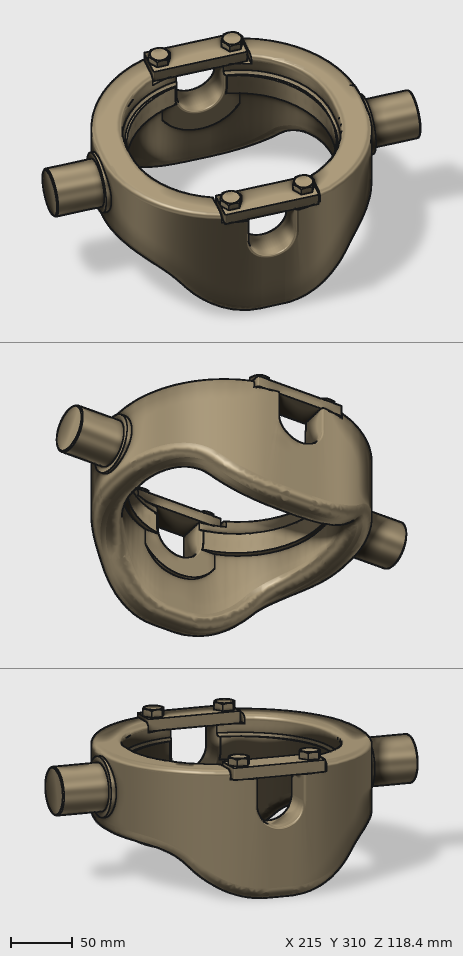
import cadquery as cq
import math

RING_LENGTH_X = 215.0
RING_LENGTH_Y = 225.0
RING_CORNER_RADIUS = 102.5
WALL = 25.0
TOP_Z = 30.0
TOP_EDGE_FILLET = 5.0
BOTTOM_EDGE_FILLET = 10.0

LOBE_Z = -80.0
LOBE_FLAT = 20.0
LOBE_RADIUS = 78.0
ARCH_Z = -38.0
ARCH_RADIUS = 42.0

BORE_RADIUS = 80.0
BORE_LENGTH_Y = 170.0
BAND_TOP_Z = 15.0
BAND_BOTTOM_Z = -6.5
BAND_CHAMFER_ANGLE = 45.0

SLOT_RADIUS = 20.0
SLOT_EDGE_FILLET = 2.0
PAD_RADIUS = 39.0
PAD_FACE_X = 79.0

TRUNNION_DIAMETER = 40.0
TRUNNION_SPAN = 310.0
TRUNNION_CHAMFER = 1.0
COLLAR_DIAMETER = 50.0
COLLAR_SPAN = 230.0

BAR_WIDTH = 25.0
BAR_LENGTH = 80.0
BAR_THICKNESS = 10.0
BAR_CORNER_FILLET = 1.0
SEAT_LENGTH = 84.0
SEAT_DEPTH = 8.0

BOLT_SPACING = 62.0
BOLT_DIAMETER = 10.0
BOLT_LENGTH = 25.0
BAR_HOLE_DIAMETER = 10.5
HEAD_ACROSS_FLATS = 16.0
HEAD_HEIGHT = 6.4
HEAD_TOP_DIAMETER = 15.2
HEAD_CHAMFER_ANGLE = 30.0

CAVITY_LENGTH_X = RING_LENGTH_X - 2 * WALL
CAVITY_LENGTH_Y = RING_LENGTH_Y - 2 * WALL
CAVITY_CORNER_RADIUS = RING_CORNER_RADIUS - WALL
BAND_DEPTH = CAVITY_LENGTH_X / 2 - BORE_RADIUS
SEAT_Z = TOP_Z - SEAT_DEPTH
BAR_TOP_Z = SEAT_Z + BAR_THICKNESS
BAR_CENTER_X = BORE_RADIUS + BAR_WIDTH / 2
RING_HEIGHT = TOP_Z - LOBE_Z
SPAN = 2 * RING_LENGTH_Y
SIDES = (-1, 1)


def rounded_block(length_x, length_y, corner_radius, z, height, taper=0):
    outline = cq.Sketch().rect(length_x, length_y).vertices().fillet(corner_radius)
    return cq.Workplane("XY", origin=(0, 0, z)).placeSketch(outline).extrude(height, taper=taper)


def cavity_block(z, height, taper=0):
    return rounded_block(CAVITY_LENGTH_X, CAVITY_LENGTH_Y, CAVITY_CORNER_RADIUS, z, height, taper)


def slot_prism(radius, start_x, end_x, top_z):
    """U-shaped prism along X: half round below the trunnion axis, straight sides above it."""
    return (
        cq.Workplane("YZ", origin=(start_x, 0, 0))
        .moveTo(-radius, top_z)
        .lineTo(-radius, 0)
        .threePointArc((0, -radius), (radius, 0))
        .lineTo(radius, top_z)
        .close()
        .extrude(end_x - start_x)
    )


def mirrored(point):
    return (-point[0], point[1])


def scallop_cutter():
    """Everything below the wavy lower edge, a prism along X."""
    turn = math.acos(1 - (ARCH_Z - LOBE_Z) / (LOBE_RADIUS + ARCH_RADIUS))
    lobe_start_y = LOBE_FLAT / 2
    arch_end_y = lobe_start_y + (LOBE_RADIUS + ARCH_RADIUS) * math.sin(turn)

    def lobe_point(angle):
        y = lobe_start_y + LOBE_RADIUS * math.sin(angle)
        return (y, LOBE_Z + LOBE_RADIUS * (1 - math.cos(angle)))

    def arch_point(angle):
        y = arch_end_y - ARCH_RADIUS * math.sin(angle)
        return (y, ARCH_Z - ARCH_RADIUS * (1 - math.cos(angle)))

    return (
        cq.Workplane("YZ")
        .moveTo(*mirrored(lobe_point(0)))
        .lineTo(*lobe_point(0))
        .threePointArc(lobe_point(turn / 2), lobe_point(turn))
        .threePointArc(arch_point(turn / 2), arch_point(0))
        .lineTo(SPAN / 2, ARCH_Z)
        .lineTo(SPAN / 2, -SPAN)
        .lineTo(-SPAN / 2, -SPAN)
        .lineTo(-SPAN / 2, ARCH_Z)
        .lineTo(*mirrored(arch_point(0)))
        .threePointArc(mirrored(arch_point(turn / 2)), mirrored(lobe_point(turn)))
        .threePointArc(mirrored(lobe_point(turn / 2)), mirrored(lobe_point(0)))
        .close()
        .extrude(SPAN / 2, both=True)
    )


def make_wall():
    wall = rounded_block(RING_LENGTH_X, RING_LENGTH_Y, RING_CORNER_RADIUS, LOBE_Z, RING_HEIGHT)
    wall = wall.cut(cavity_block(LOBE_Z, RING_HEIGHT))
    wall = wall.faces(">Z").edges().fillet(TOP_EDGE_FILLET)
    wall = wall.cut(scallop_cutter())
    lower_edges = cq.selectors.BoxSelector(
        (-SPAN, -SPAN, LOBE_Z - BOTTOM_EDGE_FILLET),
        (SPAN, SPAN, ARCH_Z + BOTTOM_EDGE_FILLET),
        boundingbox=True,
    )
    return wall.edges(lower_edges).fillet(BOTTOM_EDGE_FILLET)


def make_band():
    """Inward ridge with a sloping top, bored to the obround."""
    band = cavity_block(BAND_BOTTOM_Z, BAND_TOP_Z - BAND_BOTTOM_Z)
    band = band.cut(cavity_block(BAND_TOP_Z, -BAND_DEPTH, BAND_CHAMFER_ANGLE))
    bore = (
        cq.Workplane("XY", origin=(0, 0, BAND_BOTTOM_Z))
        .slot2D(BORE_LENGTH_Y, 2 * BORE_RADIUS, 90)
        .extrude(BAND_TOP_Z - BAND_BOTTOM_Z)
    )
    return band.cut(bore)


def make_pad(side):
    """Flat-faced disc sector around a slot, below the top of the band."""
    disc = (
        cq.Workplane("YZ", origin=(side * PAD_FACE_X, 0, 0))
        .circle(PAD_RADIUS)
        .extrude(side * (CAVITY_LENGTH_X / 2 - PAD_FACE_X))
    )
    return disc.intersect(cavity_block(-PAD_RADIUS, PAD_RADIUS))


def make_slot_flare(side):
    """Clearance beside the pad face that rounds the inner edge of a slot."""
    flare_radius = SLOT_RADIUS + SLOT_EDGE_FILLET
    flare_end_x = side * (PAD_FACE_X + SLOT_EDGE_FILLET)
    rim_inner_x = side * PAD_FACE_X
    rim_outer_x = side * (PAD_FACE_X + WALL)
    rim = slot_prism(flare_radius + SLOT_EDGE_FILLET, rim_inner_x, rim_outer_x, BAND_TOP_Z)
    rim = rim.cut(slot_prism(SLOT_RADIUS, rim_inner_x, rim_outer_x, BAND_TOP_Z))
    slot_edge = cq.selectors.BoxSelector(
        (rim_inner_x - 1, -SLOT_RADIUS - 1, -SLOT_RADIUS - 1),
        (rim_inner_x + 1, SLOT_RADIUS + 1, BAND_TOP_Z + 1),
        boundingbox=True,
    )
    rim = rim.edges(slot_edge).fillet(SLOT_EDGE_FILLET)
    return slot_prism(flare_radius, 0, flare_end_x, BAND_TOP_Z).cut(rim)


def cut_slot(ring, side):
    ring = ring.cut(slot_prism(SLOT_RADIUS, 0, side * SPAN / 2, SEAT_Z))
    outer_edges = cq.selectors.BoxSelector(
        (side * RING_LENGTH_X / 2 - WALL / 2, -SLOT_RADIUS - 1, -SLOT_RADIUS - 1),
        (side * RING_LENGTH_X / 2 + WALL / 2, SLOT_RADIUS + 1, SEAT_Z + 1),
        boundingbox=True,
    )
    ring = ring.edges(outer_edges).fillet(SLOT_EDGE_FILLET)
    return ring.cut(make_slot_flare(side))


def make_trunnion(side):
    """Collar and journal along Y, rooted inside the ring wall."""
    root_y = RING_LENGTH_Y / 2 - WALL / 2
    collar = (
        cq.Workplane("XZ", origin=(0, side * root_y, 0))
        .circle(COLLAR_DIAMETER / 2)
        .extrude(-side * (COLLAR_SPAN / 2 - root_y))
    )
    journal = (
        cq.Workplane("XZ", origin=(0, side * root_y, 0))
        .circle(TRUNNION_DIAMETER / 2)
        .extrude(-side * (TRUNNION_SPAN / 2 - root_y))
        .faces(">Y" if side > 0 else "<Y")
        .chamfer(TRUNNION_CHAMFER)
    )
    return collar.union(journal)


def cylinder_down(diameter, top_point, length):
    return cq.Workplane("XY", origin=top_point).circle(diameter / 2).extrude(-length)


def bolt_points(side):
    """Centres of the two bolts of one bar, where their heads rest on it."""
    return [(side * BAR_CENTER_X, end * BOLT_SPACING / 2, BAR_TOP_Z) for end in SIDES]


def make_ring():
    ring = make_wall().union(make_band())
    for side in SIDES:
        ring = ring.union(make_pad(side))
        ring = ring.union(make_trunnion(side))
    seats = cq.Workplane("XY", origin=(0, 0, SEAT_Z)).rect(SPAN, SEAT_LENGTH).extrude(SEAT_DEPTH)
    ring = ring.cut(seats)
    for side in SIDES:
        ring = cut_slot(ring, side)
        for point in bolt_points(side):
            ring = ring.cut(cylinder_down(BOLT_DIAMETER, point, BOLT_LENGTH))
    return ring


def make_bar(side):
    bar = (
        cq.Workplane("XY", origin=(side * BAR_CENTER_X, 0, SEAT_Z))
        .rect(BAR_WIDTH, BAR_LENGTH)
        .extrude(BAR_THICKNESS)
        .edges("|Z")
        .fillet(BAR_CORNER_FILLET)
    )
    for point in bolt_points(side):
        bar = bar.cut(cylinder_down(BAR_HOLE_DIAMETER, point, BAR_THICKNESS))
    return bar


def make_bolt(point):
    head = (
        cq.Workplane("XY", origin=point)
        .polygon(6, HEAD_ACROSS_FLATS, circumscribed=True)
        .extrude(HEAD_HEIGHT)
    )
    corner_cone = (
        cq.Workplane("XY", origin=point)
        .workplane(offset=HEAD_HEIGHT)
        .circle(HEAD_TOP_DIAMETER / 2)
        .extrude(-HEAD_HEIGHT, taper=HEAD_CHAMFER_ANGLE - 90)
    )
    return head.intersect(corner_cone).union(cylinder_down(BOLT_DIAMETER, point, BOLT_LENGTH))


ring = make_ring()
bars = [make_bar(side) for side in SIDES]
bolts = [make_bolt(point) for side in SIDES for point in bolt_points(side)]

result = cq.Compound.makeCompound(
    [
        ring.val(),
        *[bar.val() for bar in bars],
        *[bolt.val() for bolt in bolts],
    ]
)